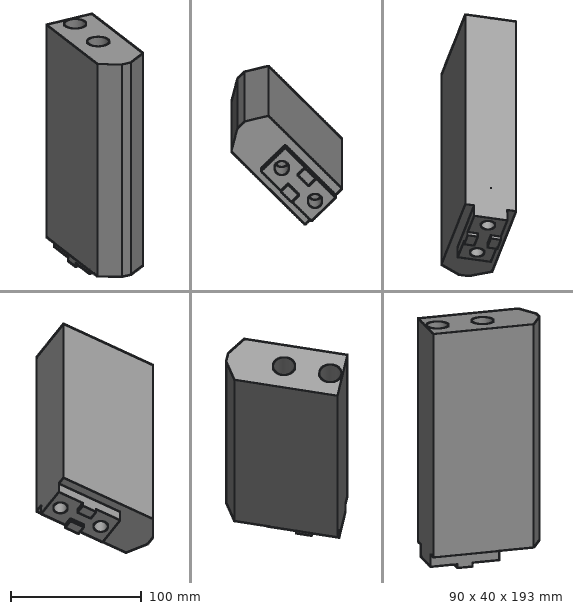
import cadquery as cq

total_height = 193.0
length = 90.0
width = 40.0
nose_length = 9.6
nose_flat = 7.7

foot_length = 55.0
foot_width = 26.0
foot_height = 9.8
tab_length = 12.0
tab_width = 8.0
tab_height = 3.0
tab_start = (foot_length - tab_length) / 2

bolt_inset = 9.5
bolt_diameter = 11.0
head_diameter = 17.0
head_seat_height = 19.3

foot_bottom = tab_height
block_bottom = foot_bottom + foot_height
block_height = total_height - block_bottom


def make_block():
    """Upright block whose +X end tapers to a narrow flat nose."""
    shoulder = length - nose_length
    outline = [
        (0, -width / 2),
        (shoulder, -width / 2),
        (length, -nose_flat / 2),
        (length, nose_flat / 2),
        (shoulder, width / 2),
        (0, width / 2),
    ]
    return cq.Workplane("XY").workplane(offset=block_bottom).polyline(outline).close().extrude(block_height)


def make_foot():
    """Narrower rectangular foot, flush with the -X face of the block."""
    foot = cq.Workplane("XY").box(foot_length, foot_width, foot_height, centered=(False, True, False))
    return foot.translate((0, 0, foot_bottom))


def make_tab(side):
    """Locating tab flush with one side of the foot; side is -1 or +1."""
    tab_center_y = side * (foot_width - tab_width) / 2
    tab = cq.Workplane("XY").box(tab_length, tab_width, tab_height, centered=(False, True, False))
    return tab.translate((tab_start, tab_center_y, 0))


def make_bolt_cutter(x):
    """Through hole with a deep counterbore open at the top."""
    seat_z = block_bottom + head_seat_height
    shank = cq.Workplane("XY").center(x, 0).circle(bolt_diameter / 2).extrude(total_height)
    head = (
        cq.Workplane("XY")
        .workplane(offset=seat_z)
        .center(x, 0)
        .circle(head_diameter / 2)
        .extrude(total_height - seat_z)
    )
    return shank.union(head)


result = make_block().union(make_foot())
for tab_side in (-1, 1):
    result = result.union(make_tab(tab_side))
for bolt_x in (bolt_inset, foot_length - bolt_inset):
    result = result.cut(make_bolt_cutter(bolt_x))